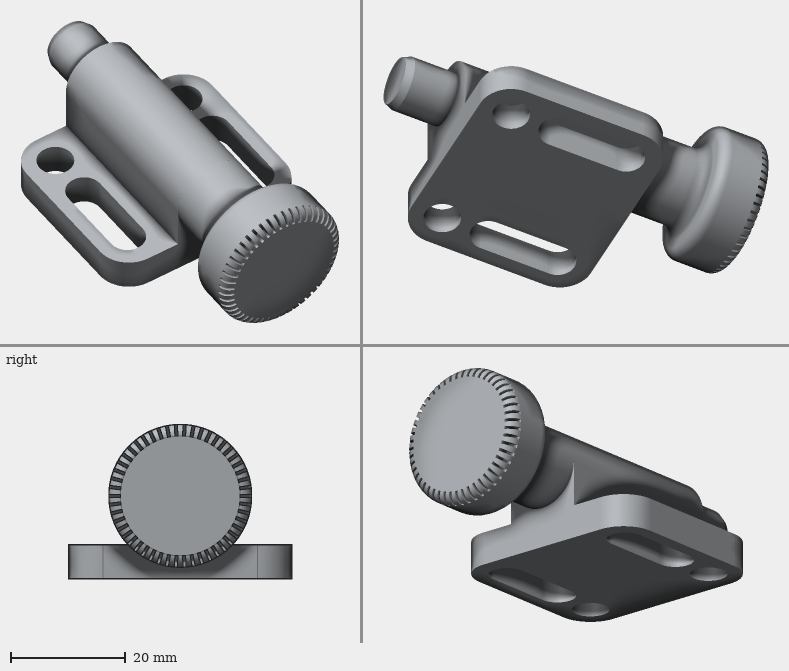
import cadquery as cq
import math

total_length = 67.5
axis_height = 14.5

housing_start = 10.0
housing_length = 34.95
base_width = 39.0
base_thickness = 6.0
corner_radius = 6.0
barrel_radius = 7.2
hole_radius = 3.3
slot_travel = 13.5
hole_to_slot = 9.0

pin_radius = 5.0
tip_taper_length = 1.5
tip_taper_depth = 0.6
knob_radius = 12.5
edge_radius = 2.0
neck_start = 55.4
rim_start = 59.7

groove_count = 50
groove_width = 0.55
groove_depth = edge_radius

housing_end = housing_start + housing_length
hole_x = housing_start + corner_radius
hole_y = base_width / 2 - corner_radius
slot_x = hole_x + hole_to_slot + slot_travel / 2
rear_rounding_start = total_length - edge_radius
rear_face_radius = knob_radius - edge_radius


def arc_point(center, angle):
    """Point on an edge_radius circle in the (X, radius) plane, angle in radians from +X."""
    return (center[0] + edge_radius * math.cos(angle), center[1] + edge_radius * math.sin(angle))


def make_housing():
    """Flanged base carrying a round-topped block that is bored for the pin."""
    base = (
        cq.Workplane("XY")
        .center(housing_start + housing_length / 2, 0)
        .rect(housing_length, base_width)
        .extrude(base_thickness)
        .edges("|Z")
        .fillet(corner_radius)
    )
    block = (
        cq.Workplane("YZ", origin=(housing_start, 0, 0))
        .moveTo(-barrel_radius, 0)
        .lineTo(barrel_radius, 0)
        .lineTo(barrel_radius, axis_height)
        .threePointArc((0, axis_height + barrel_radius), (-barrel_radius, axis_height))
        .close()
        .extrude(housing_length)
    )
    pin_bore = (
        cq.Workplane("YZ", origin=(housing_start, 0, axis_height))
        .circle(pin_radius)
        .extrude(housing_length)
    )
    round_holes = (
        cq.Workplane("XY")
        .pushPoints([(hole_x, -hole_y), (hole_x, hole_y)])
        .circle(hole_radius)
        .extrude(base_thickness)
    )
    slots = (
        cq.Workplane("XY")
        .pushPoints([(slot_x, -hole_y), (slot_x, hole_y)])
        .slot2D(slot_travel + 2 * hole_radius, 2 * hole_radius)
        .extrude(base_thickness)
    )
    return base.union(block).cut(pin_bore).cut(round_holes).cut(slots)


def make_plunger_blank():
    """Pin, collar and knob turned as one profile about the plunger axis."""
    neck_center = (neck_start, barrel_radius + edge_radius)
    rim_center = (rim_start, knob_radius - edge_radius)
    center_dx = rim_center[0] - neck_center[0]
    center_dr = rim_center[1] - neck_center[1]
    center_distance = math.hypot(center_dx, center_dr)
    tangent_angle = math.atan2(center_dr, center_dx) - math.acos(2 * edge_radius / center_distance)
    neck_mid_angle = (tangent_angle - math.pi / 2) / 2
    rim_end_angle = tangent_angle + math.pi
    rim_mid_angle = (rim_end_angle + math.pi / 2) / 2
    rear_center = (rear_rounding_start, rear_face_radius)

    profile = (
        cq.Workplane("XY")
        .moveTo(0, 0)
        .lineTo(0, pin_radius - tip_taper_depth)
        .lineTo(tip_taper_length, pin_radius)
        .lineTo(housing_end, pin_radius)
        .lineTo(housing_end, barrel_radius)
        .lineTo(neck_start, barrel_radius)
        .threePointArc(arc_point(neck_center, neck_mid_angle), arc_point(neck_center, tangent_angle))
        .lineTo(*arc_point(rim_center, rim_end_angle))
        .threePointArc(arc_point(rim_center, rim_mid_angle), (rim_start, knob_radius))
        .lineTo(rear_rounding_start, knob_radius)
        .threePointArc(arc_point(rear_center, math.pi / 4), (total_length, rear_face_radius))
        .lineTo(total_length, 0)
        .close()
    )
    return profile.revolve(360, (0, 0, 0), (1, 0, 0)).translate((0, 0, axis_height))


def make_knurl_groove(index):
    """Straight square groove through the rear rounding, at one place around the knob."""
    groove = cq.Workplane("XY").box(
        edge_radius, groove_width, groove_depth, centered=(False, True, False)
    )
    groove = groove.translate((rear_rounding_start, 0, axis_height + knob_radius - groove_depth))
    angle = 90 + index * 360 / groove_count
    return groove.rotate((0, 0, axis_height), (1, 0, axis_height), angle)


def make_plunger():
    """Turned plunger with the knurl grooves cut around the knob."""
    grooves = [make_knurl_groove(index).val() for index in range(groove_count)]
    return make_plunger_blank().cut(cq.Workplane(cq.Compound.makeCompound(grooves)))


housing = make_housing()
plunger = make_plunger()

result = cq.Compound.makeCompound([housing.val(), plunger.val()])